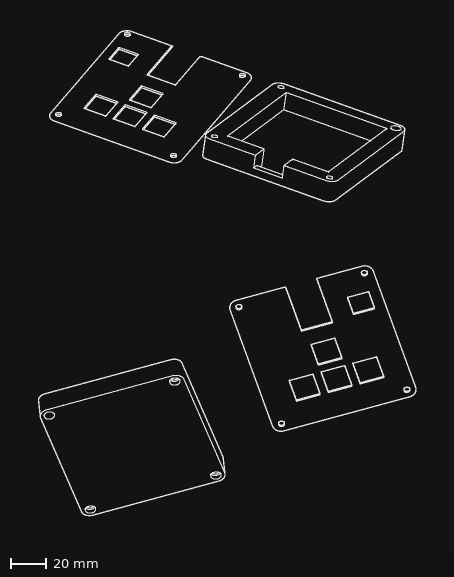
import cadquery as cq
import math

WIDTH = 85.6
LENGTH = 90.6
CORNER_RADIUS = 5.2
SCREW_PITCH_X = 75.0
SCREW_PITCH_Y = 80.8
SCREW_DIAMETER = 3.5
HEAD_DIAMETER = 6.0

NOTCH_WIDTH = 18.5
NOTCH_OFFSET = 1.0

PLATE_THICKNESS = 1.5
EDGE_ARC_RADIUS = 5.0
PLATE_NOTCH_DEPTH = 30.8
KEY_SIZE = 14.2
KEY_PITCH = 19.0
KEY_ROW_X = -1.3
KEY_ROW_Y = -21.6
WINDOW_WIDTH = 12.7
WINDOW_LENGTH = 11.8
WINDOW_X = -29.7
WINDOW_Y = 22.0

CASE_HEIGHT = 13.0
FLOOR_THICKNESS = 2.0
POCKET_WIDTH = 65.5
POCKET_LENGTH = 71.2
POCKET_X = 0.9
POCKET_Y = 0.9
CASE_NOTCH_DEPTH = 8.0
LIP_THICKNESS = 4.0
HEAD_RECESS_DEPTH = 3.0

TOTAL_WIDTH = 218.5
TOTAL_LENGTH = 150.3
TOTAL_HEIGHT = 82.3

CASE_TILT = 15.0
TILT_COS = math.cos(math.radians(CASE_TILT))
TILT_SIN = math.sin(math.radians(CASE_TILT))
CASE_X = TOTAL_WIDTH - WIDTH
CASE_Y = LENGTH / 2 * (1 + TILT_COS) - TOTAL_LENGTH
CASE_Z = TOTAL_HEIGHT - LENGTH / 2 * TILT_SIN - CASE_HEIGHT * TILT_COS

CUT_MARGIN = 2.2

SCREW_POINTS = [
    (side_x * SCREW_PITCH_X / 2, side_y * SCREW_PITCH_Y / 2)
    for side_x in (-1, 1)
    for side_y in (-1, 1)
]


def block(width, length, height, x, y, z):
    """Box centred on (x, y) with its underside at z."""
    return cq.Workplane("XY").box(width, length, height, centered=(True, True, False)).translate((x, y, z))


def rounded_block(width, length, height, radius):
    """Footprint block with rounded vertical corners, standing on Z = 0."""
    return block(width, length, height, 0, 0, 0).edges("|Z").fillet(radius)


def cylinders(points, diameter, height, z):
    """Upright cylinders that start at height z."""
    return (
        cq.Workplane("XY").workplane(offset=z).pushPoints(points).circle(diameter / 2).extrude(height)
    )


def make_plate_blank():
    """Plate whose rounded edge runs out at an angle on the underside."""
    arc_reach = math.sqrt(EDGE_ARC_RADIUS**2 - (EDGE_ARC_RADIUS - PLATE_THICKNESS) ** 2)
    overhang = EDGE_ARC_RADIUS - arc_reach
    depth = EDGE_ARC_RADIUS + CUT_MARGIN
    wide = rounded_block(
        WIDTH + 2 * overhang, LENGTH + 2 * overhang, depth, CORNER_RADIUS + overhang
    )
    rounded = wide.faces(">Z").edges().fillet(EDGE_ARC_RADIUS).translate((0, 0, PLATE_THICKNESS - depth))
    keep = block(2 * WIDTH, 2 * LENGTH, PLATE_THICKNESS, 0, 0, 0)
    return rounded.intersect(keep)


def make_plate():
    plate = make_plate_blank()
    cut_height = PLATE_THICKNESS + 2 * CUT_MARGIN

    plate = plate.cut(cylinders(SCREW_POINTS, SCREW_DIAMETER, cut_height, -CUT_MARGIN))

    notch_length = PLATE_NOTCH_DEPTH + CUT_MARGIN
    notch_y = LENGTH / 2 - PLATE_NOTCH_DEPTH + notch_length / 2
    plate = plate.cut(block(NOTCH_WIDTH, notch_length, cut_height, -NOTCH_OFFSET, notch_y, -CUT_MARGIN))

    for column, row in [(-1, 0), (0, 0), (1, 0), (0, 1)]:
        key_x = KEY_ROW_X + column * KEY_PITCH
        key_y = KEY_ROW_Y + row * KEY_PITCH
        plate = plate.cut(block(KEY_SIZE, KEY_SIZE, cut_height, key_x, key_y, -CUT_MARGIN))

    return plate.cut(block(WINDOW_WIDTH, WINDOW_LENGTH, cut_height, WINDOW_X, WINDOW_Y, -CUT_MARGIN))


def make_case():
    """Open case, built level on Z = 0."""
    case = rounded_block(WIDTH, LENGTH, CASE_HEIGHT, CORNER_RADIUS)

    case = case.cut(block(POCKET_WIDTH, POCKET_LENGTH, CASE_HEIGHT, POCKET_X, POCKET_Y, FLOOR_THICKNESS))
    lip_inner_y = -LENGTH / 2 + LIP_THICKNESS
    channel_y = (lip_inner_y + POCKET_Y) / 2
    channel_length = POCKET_Y - lip_inner_y
    case = case.cut(
        block(NOTCH_WIDTH, channel_length, CASE_HEIGHT, NOTCH_OFFSET, channel_y, FLOOR_THICKNESS)
    )

    lip_top = CASE_HEIGHT - CASE_NOTCH_DEPTH
    case = case.cut(
        block(NOTCH_WIDTH, 2 * LIP_THICKNESS, CASE_HEIGHT, NOTCH_OFFSET, -LENGTH / 2, lip_top)
    )

    through_height = CASE_HEIGHT + 2 * CUT_MARGIN
    case = case.cut(cylinders(SCREW_POINTS, SCREW_DIAMETER, through_height, -CUT_MARGIN))
    case = case.cut(cylinders(SCREW_POINTS, HEAD_DIAMETER, HEAD_RECESS_DEPTH, 0))
    wide_hole = [(SCREW_PITCH_X / 2, SCREW_PITCH_Y / 2)]
    return case.cut(cylinders(wide_hole, HEAD_DIAMETER, through_height, -CUT_MARGIN))


plate = make_plate()
case = make_case().rotate((0, 0, 0), (1, 0, 0), -CASE_TILT).translate((CASE_X, CASE_Y, CASE_Z))

result = cq.Compound.makeCompound([plate.val(), case.val()])